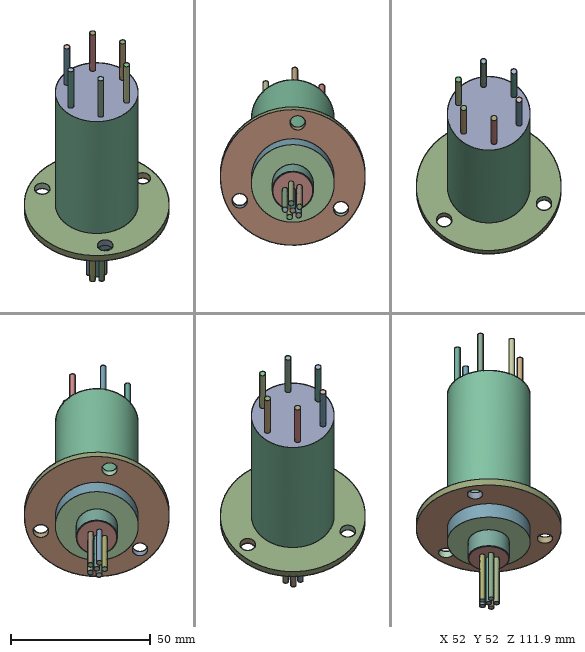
import cadquery as cq
import math

total_height = 111.9
bundle_length = 20.0
collar_length = 7.4
skirt_length = 6.0
flange_thickness = 2.8
pin_length = 18.6

collar_bottom = bundle_length
body_bottom = collar_bottom + collar_length
flange_bottom = body_bottom + skirt_length
body_top = total_height - pin_length

body_diameter = 29.8
flange_diameter = 52.0
collar_diameter = 14.8
collar_chamfer = 0.2

mount_hole_count = 3
mount_hole_diameter = 5.5
mount_hole_circle_radius = 21.0
first_mount_hole_angle = 180.0

pin_count = 6
pin_diameter = 2.1
pin_circle_radius = 11.6
first_pin_angle = -1.2

lead_diameter = 2.0
ring_lead_count = 5
lead_circle_radius = 2.8
first_lead_angle = 43.0


def circle_points(count, radius, first_angle):
    """Evenly spaced points on a circle about the Z axis."""
    angles = [math.radians(first_angle + 360.0 * i / count) for i in range(count)]
    return [(radius * math.cos(a), radius * math.sin(a)) for a in angles]


def cylinder(diameter, bottom, height, center=(0, 0)):
    """Upright cylinder whose lower face is at the given Z."""
    x, y = center
    return cq.Workplane("XY", origin=(x, y, bottom)).circle(diameter / 2).extrude(height)


def make_flange():
    flange = cylinder(flange_diameter, flange_bottom, flange_thickness)
    for center in circle_points(mount_hole_count, mount_hole_circle_radius, first_mount_hole_angle):
        flange = flange.cut(cylinder(mount_hole_diameter, flange_bottom, flange_thickness, center))
    return flange


def make_collar():
    collar = cylinder(collar_diameter, collar_bottom, collar_length)
    return collar.faces("<Z").chamfer(collar_chamfer)


def make_housing():
    """Flanged cylindrical body with its collar and the leads that hang from it."""
    housing = cylinder(body_diameter, body_bottom, body_top - body_bottom)
    housing = housing.union(make_flange()).union(make_collar())
    ring = circle_points(ring_lead_count, lead_circle_radius, first_lead_angle)
    for center in [(0, 0)] + ring:
        housing = housing.union(cylinder(lead_diameter, 0, bundle_length, center))
    return housing


def make_pin(center):
    return cylinder(pin_diameter, body_top, pin_length, center)


housing = make_housing()
pins = [make_pin(center) for center in circle_points(pin_count, pin_circle_radius, first_pin_angle)]

result = cq.Compound.makeCompound([housing.val(), *[pin.val() for pin in pins]])